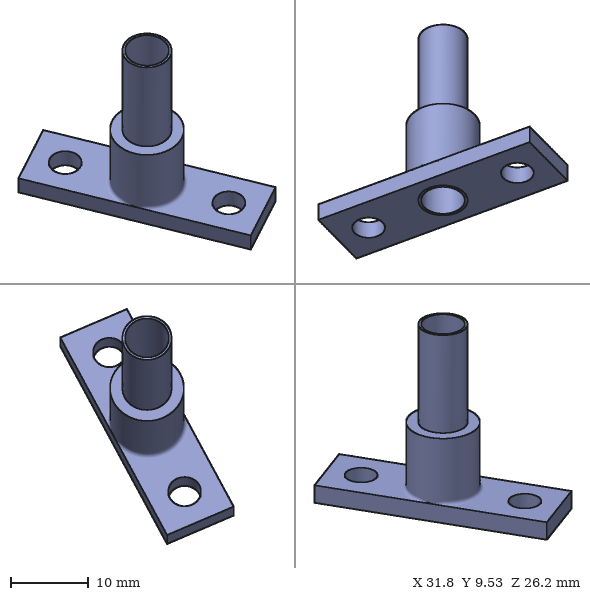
import cadquery as cq

plate_length = 31.75
plate_width = 9.525
plate_thickness = 2.54
mount_hole_diameter = 4.22
mount_hole_spacing = 22.35

side_margin = 0.0005
boss_diameter = plate_width - 2 * side_margin
boss_height = 9.525
foot_fillet_radius = 0.51

tube_outer_diameter = 6.35
tube_inner_diameter = 5.64
tube_length = 26.16


def make_base():
    """Plate with a filleted boss, two mounting holes and a through bore for the tube."""
    plate = cq.Workplane("XY").box(
        plate_length, plate_width, plate_thickness, centered=(True, True, False)
    )
    body = plate.faces(">Z").workplane().circle(boss_diameter / 2).extrude(boss_height)

    body = body.edges("%CIRCLE").edges("<Z").fillet(foot_fillet_radius)

    bore = cq.Workplane("XY").circle(tube_outer_diameter / 2).extrude(plate_thickness + boss_height)
    mount_holes = (
        cq.Workplane("XY")
        .pushPoints([(side * mount_hole_spacing / 2, 0) for side in (-1, 1)])
        .circle(mount_hole_diameter / 2)
        .extrude(plate_thickness)
    )
    return body.cut(bore).cut(mount_holes).solids()


def make_tube():
    """Thin-walled tube running from the plate underside up past the top of the boss."""
    return (
        cq.Workplane("XY")
        .circle(tube_outer_diameter / 2)
        .circle(tube_inner_diameter / 2)
        .extrude(tube_length)
    )


base = make_base()
tube = make_tube()

result = cq.Compound.makeCompound([base.val(), tube.val()])